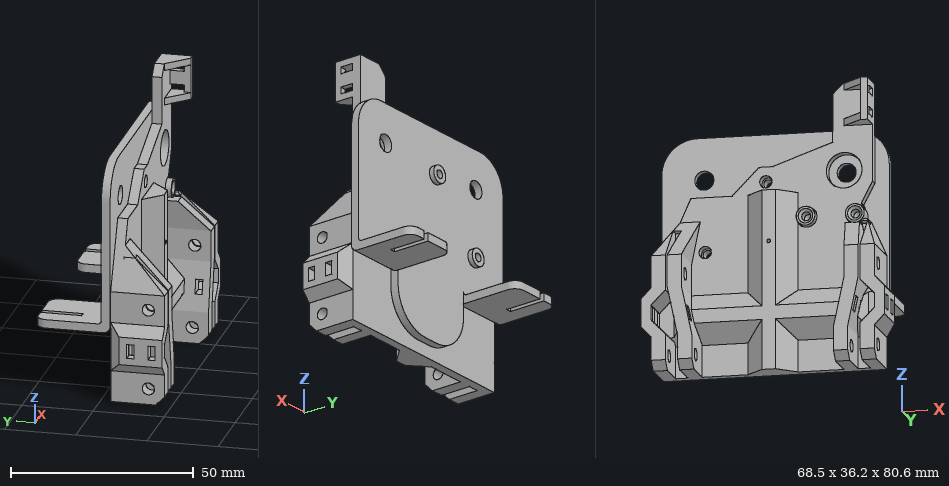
import cadquery as cq

flange_thickness = 2.85
bracket_top = 80.58
rib_depth = 8.0
rib_front_half_width = 1.93
rib_slope_run = rib_depth - flange_thickness
rib_base_half_width = rib_front_half_width + rib_slope_run
vertical_rib_top = 50.5
cross_rib_height = 16.0
rib_end_floor_depth = 5.0
pilot_hole_diameter = 1.0
pilot_hole_height = 36.1

wall_depth = 15.2
wall_outer_x = 31.4
wall_thickness = 4.05
wall_gap_x = wall_outer_x - wall_thickness
wall_shoulder_height = 31.93
wall_slope_top = 43.8
wall_foot_chamfer = 2.5
shoulder_tip_x = 23.08
shoulder_run_per_rise = (wall_outer_x - shoulder_tip_x) / (vertical_rib_top - wall_shoulder_height)
gap_top = 40.8
inner_wall_thickness = 4.0
inner_wall_foot_x = 23.9
inner_wall_shoulder_x = 26.85
inner_wall_bend_bottom = 9.2

bulge_jog = 34.235 - wall_outer_x
bulge_back_depth = 3.0
bulge_base_half_height = 7.0
bulge_face_half_height = 4.0
bulge_inner_half_height = 2.05

clamp_hole_diameter = 3.4
clamp_hole_depth = 10.6
clamp_hole_offset = 11.43
tie_slot_width = 2.0
tie_slot_height = 4.0
front_tie_slot_depth = 12.15
rear_tie_slot_depth = 6.2

flange_ledge_left_x = -11.54
flange_crest_x = (-3.9, -0.17)
flange_crest_height = 58.2
arm_left_x = 16.72
arm_root_height = 64.1
arm_right_edge_bottom = 52.6
arm_neck_height = 46.6
arm_right_x = 27.97
arm_corner_chamfer = 2.9
hook_height = 12.0
hook_wall = 2.0
hook_reach = 6.0
hook_slot_length = 4.0
hook_slot_height = 2.0

plate_half_width = 32.0
plate_thickness = 2.5
plate_top = 68.0
plate_corner_radius = 10.0
tongue_bottom = 4.0
tongue_corner_radius = 12.0
tab_width = 17.5
tab_inner_x = plate_half_width - tab_width
tab_bottom = 20.0
tab_end_y = 21.0
tab_corner_radius = 3.0
bend_inner_radius = 1.0
bend_outer_radius = 2.0
tab_slot_x = 25.63
tab_slot_width = 1.7
tab_slot_length = 11.6
mount_hole_diameter = 5.27
mount_hole_x = 20.0
mount_hole_height = 56.06
mount_counterbore_diameter = 10.0

standoff_diameter = 5.3
standoff_bore = 2.46
standoff_countersink = 4.06
standoff_clearance = 5.67
screw_clearance = 3.4
rear_standoff_tip_y = 4.0
front_standoff_tip_y = -4.5
front_standoff_bore_depth = 4.0
rear_standoffs = [(-2.04, 54.05), (-19.06, 35.1)]
front_standoff_height = 43.47
front_standoffs = [(9.5, front_standoff_height), (23.37, front_standoff_height)]

standoff_pocket_bottom = 40.45
standoff_pocket_step = 41.5
standoff_pocket_step_top = 44.0
standoff_pocket_left_x = 20.0
standoff_pocket_ramp_x = (25.0, 25.7)


def front_prism(points, y_back, y_front):
    """Prism with an (x, z) outline, from y_back forward to y_front."""
    return cq.Workplane("XZ", origin=(0, y_back, 0)).polyline(points).close().extrude(y_back - y_front)


def plan_prism(points, z_low, z_high):
    """Prism with an (x, y) outline, from z_low up to z_high."""
    return cq.Workplane("XY", origin=(0, 0, z_low)).polyline(points).close().extrude(z_high - z_low)


def side_prism(points, half_length):
    """Prism with a (y, z) outline, centred on X = 0."""
    return cq.Workplane("YZ").polyline(points).close().extrude(half_length, both=True)


def rod_y(x, z, diameter, y_back, y_front):
    """Cylinder along Y, from y_back forward to y_front."""
    return cq.Workplane("XZ", origin=(x, y_back, z)).circle(diameter / 2).extrude(y_back - y_front)


def block(x_range, y_range, z_range):
    """Axis-aligned block given by its (low, high) limits."""
    low, high = zip(x_range, y_range, z_range)
    size = [b - a for a, b in zip(low, high)]
    return cq.Workplane("XY", origin=low).box(*size, centered=False)


def shoulder_x(height):
    """Distance from X = 0 to the sloping shoulder of the bracket at a given height."""
    return wall_outer_x - (height - wall_shoulder_height) * shoulder_run_per_rise


def make_shoulder_cut(top):
    """Material to remove outside the +X shoulder of the bracket, up to a given height."""
    outline = [(wall_outer_x, wall_shoulder_height), (shoulder_x(top), top), (wall_outer_x, top)]
    return front_prism(outline, 0, -wall_depth)


def make_flange():
    """Flat back of the bracket, with square shoulders."""
    outline = [
        (-wall_outer_x, 0),
        (-wall_outer_x, vertical_rib_top),
        (flange_ledge_left_x, vertical_rib_top),
        (flange_crest_x[0], flange_crest_height),
        (flange_crest_x[1], flange_crest_height),
        (arm_left_x, arm_root_height),
        (arm_left_x, bracket_top - arm_corner_chamfer),
        (arm_left_x + arm_corner_chamfer, bracket_top),
        (arm_right_x, bracket_top),
        (arm_right_x, arm_right_edge_bottom),
        (shoulder_x(arm_neck_height), arm_neck_height),
        (wall_outer_x, arm_neck_height),
        (wall_outer_x, 0),
    ]
    return front_prism(outline, 0, -flange_thickness)


def make_ribs():
    vertical = plan_prism(
        [
            (-rib_base_half_width, -flange_thickness),
            (-rib_front_half_width, -rib_depth),
            (rib_front_half_width, -rib_depth),
            (rib_base_half_width, -flange_thickness),
        ],
        0,
        vertical_rib_top,
    )
    cross = side_prism(
        [
            (-flange_thickness, cross_rib_height - rib_base_half_width),
            (-rib_depth, cross_rib_height - rib_front_half_width),
            (-rib_depth, cross_rib_height + rib_front_half_width),
            (-flange_thickness, cross_rib_height + rib_base_half_width),
        ],
        wall_outer_x,
    )
    ramp_run = rib_depth - rib_end_floor_depth
    end_cut = plan_prism(
        [
            (wall_outer_x, -rib_end_floor_depth),
            (wall_gap_x, -rib_end_floor_depth),
            (wall_gap_x - ramp_run, -rib_depth),
            (wall_outer_x, -rib_depth),
        ],
        0,
        vertical_rib_top,
    )
    return vertical.union(cross.cut(end_cut).cut(end_cut.mirror("YZ")))


def make_wall_pair():
    """Outer and inner clamp wall on the +X side."""
    bulge_x = wall_outer_x + bulge_jog
    outer = front_prism(
        [
            (wall_outer_x, 0),
            (wall_outer_x, cross_rib_height - bulge_base_half_height),
            (bulge_x, cross_rib_height - bulge_face_half_height),
            (bulge_x, cross_rib_height + bulge_face_half_height),
            (wall_outer_x, cross_rib_height + bulge_base_half_height),
            (wall_outer_x, wall_slope_top),
            (shoulder_tip_x, wall_slope_top),
            (shoulder_tip_x, gap_top),
            (wall_gap_x, gap_top),
            (wall_gap_x, cross_rib_height + bulge_inner_half_height + wall_thickness),
            (wall_outer_x, cross_rib_height + bulge_inner_half_height),
            (wall_outer_x, cross_rib_height - bulge_inner_half_height),
            (wall_gap_x, cross_rib_height - bulge_inner_half_height - wall_thickness),
            (wall_gap_x, 0),
        ],
        0,
        -wall_depth,
    )
    bulge_back = plan_prism(
        [(wall_outer_x, 0), (bulge_x, 0), (bulge_x, -bulge_back_depth)], 0, wall_shoulder_height
    )
    inner_face = [
        (inner_wall_foot_x, 0),
        (inner_wall_foot_x, inner_wall_bend_bottom),
        (inner_wall_shoulder_x, cross_rib_height + bulge_base_half_height),
        (inner_wall_shoulder_x, wall_shoulder_height),
        (shoulder_tip_x, vertical_rib_top),
    ]
    far_face = [(x - inner_wall_thickness, z) for x, z in reversed(inner_face)]
    inner = front_prism(inner_face + far_face, 0, -wall_depth)
    side_outline = side_prism(
        [
            (0, 0),
            (wall_foot_chamfer - wall_depth, 0),
            (-wall_depth, wall_foot_chamfer),
            (-wall_depth, wall_shoulder_height),
            (-flange_thickness, wall_slope_top),
            (0, wall_slope_top),
        ],
        bulge_x,
    )
    pair = outer.cut(bulge_back).union(inner).intersect(side_outline)

    half_slot = tie_slot_height / 2
    slot_z = (cross_rib_height - half_slot, cross_rib_height + half_slot)
    for depth in (front_tie_slot_depth, rear_tie_slot_depth):
        slot_y = (-depth - tie_slot_width / 2, -depth + tie_slot_width / 2)
        pair = pair.cut(block((0, bulge_x), slot_y, slot_z))
    for side in (-1, 1):
        hole_z = cross_rib_height + side * clamp_hole_offset
        hole = cq.Workplane("YZ").center(-clamp_hole_depth, hole_z)
        pair = pair.cut(hole.circle(clamp_hole_diameter / 2).extrude(bulge_x))
    return pair


def make_standoff_pocket():
    ramp_low_x, ramp_high_x = standoff_pocket_ramp_x
    outline = [
        (standoff_pocket_left_x, vertical_rib_top),
        (standoff_pocket_left_x, standoff_pocket_bottom),
        (ramp_low_x, standoff_pocket_bottom),
        (ramp_high_x, standoff_pocket_step),
        (wall_outer_x, standoff_pocket_step),
        (wall_outer_x, vertical_rib_top),
    ]
    return front_prism(outline, -flange_thickness, -wall_depth)


def make_hook():
    """Two triangular shelves joined by a side wall, on the front of the arm tip."""
    hook_bottom = bracket_top - hook_height
    hook_front_y = -(flange_thickness + hook_reach)
    wall_x = arm_right_x - hook_wall
    hook = plan_prism(
        [
            (wall_x - hook_reach, -flange_thickness),
            (wall_x, hook_front_y),
            (arm_right_x, hook_front_y),
            (arm_right_x, -flange_thickness),
        ],
        hook_bottom,
        bracket_top,
    )
    mouth_z = (hook_bottom + hook_wall, bracket_top - hook_wall)
    hook = hook.cut(block((arm_left_x, wall_x), (hook_front_y, -flange_thickness), mouth_z))
    slot_y = (-flange_thickness - hook_slot_length, -flange_thickness)
    for slot_bottom in (mouth_z[0], mouth_z[1] - hook_slot_height):
        slot_z = (slot_bottom, slot_bottom + hook_slot_height)
        hook = hook.cut(block((wall_x, arm_right_x), slot_y, slot_z))
    return hook


def make_bracket():
    walls = make_wall_pair()
    body = make_flange().union(make_ribs()).union(walls.mirror("YZ"))
    body = body.union(walls.cut(make_standoff_pocket()))
    body = body.cut(make_shoulder_cut(arm_neck_height))
    body = body.cut(make_shoulder_cut(vertical_rib_top).mirror("YZ"))
    body = body.union(make_hook())
    for x, z in rear_standoffs:
        body = body.cut(rod_y(x, z, screw_clearance, 0, -flange_thickness))
    for x, z in front_standoffs:
        body = body.cut(rod_y(x, z, standoff_clearance, 0, -wall_depth))
    step_x = (standoff_pocket_ramp_x[1], wall_outer_x)
    step_z = (standoff_pocket_step, standoff_pocket_step_top)
    body = body.cut(block(step_x, (-flange_thickness, 0), step_z))
    counterbore = rod_y(mount_hole_x, mount_hole_height, mount_counterbore_diameter, 0, -flange_thickness)
    body = body.cut(counterbore)
    return body.cut(rod_y(0, pilot_hole_height, pilot_hole_diameter, 0, -rib_depth))


def make_tab():
    """Tab bent back from the plate on the +X side."""
    tab_top = tab_bottom + plate_thickness
    fillet_top = tab_top + bend_inner_radius
    fillet_y = plate_thickness + bend_inner_radius
    profile = (
        cq.Workplane("YZ", origin=(tab_inner_x, 0, 0))
        .moveTo(0, fillet_top)
        .lineTo(plate_thickness, fillet_top)
        .radiusArc((fillet_y, tab_top), -bend_inner_radius)
        .lineTo(tab_end_y, tab_top)
        .lineTo(tab_end_y, tab_bottom)
        .lineTo(bend_outer_radius, tab_bottom)
        .radiusArc((0, tab_bottom + bend_outer_radius), bend_outer_radius)
        .close()
    )
    tab = profile.extrude(tab_width).edges("|Z and >Y").fillet(tab_corner_radius)
    slot_x = (tab_slot_x - tab_slot_width / 2, tab_slot_x + tab_slot_width / 2)
    return tab.cut(block(slot_x, (tab_end_y - tab_slot_length, tab_end_y), (tab_bottom, tab_top)))


def make_blind_bore(x, z):
    """Countersunk blind bore with a conical drill tip, entering from the front of a standoff."""
    bore_radius = standoff_bore / 2
    sink_radius = standoff_countersink / 2
    sink_depth = sink_radius - bore_radius
    bore = (
        cq.Workplane("XY")
        .polyline(
            [
                (0, 0),
                (sink_radius, 0),
                (bore_radius, sink_depth),
                (bore_radius, front_standoff_bore_depth),
                (0, front_standoff_bore_depth + bore_radius),
            ]
        )
        .close()
        .revolve(360, (0, 0, 0), (0, 1, 0))
    )
    return bore.translate((x, front_standoff_tip_y, z))


def make_plate():
    bend_top = tab_bottom + plate_thickness + bend_inner_radius
    sheet = block((-plate_half_width, plate_half_width), (0, plate_thickness), (bend_top, plate_top))
    sheet = sheet.edges("|Y and >Z").fillet(plate_corner_radius)
    tongue = block((-tab_inner_x, tab_inner_x), (0, plate_thickness), (tongue_bottom, bend_top))
    tongue = tongue.edges("|Y and <Z").fillet(tongue_corner_radius)
    tab = make_tab()
    plate = sheet.union(tongue).union(tab).union(tab.mirror("YZ"))
    for x in (-mount_hole_x, mount_hole_x):
        plate = plate.cut(rod_y(x, mount_hole_height, mount_hole_diameter, plate_thickness, 0))
    for x, z in rear_standoffs:
        plate = plate.union(rod_y(x, z, standoff_diameter, rear_standoff_tip_y, 0))
        plate = plate.cut(rod_y(x, z, standoff_bore, rear_standoff_tip_y, 0))
    for x, z in front_standoffs:
        plate = plate.union(rod_y(x, z, standoff_diameter, plate_thickness, front_standoff_tip_y))
        plate = plate.cut(make_blind_bore(x, z))
    return plate


bracket = make_bracket()
plate = make_plate()

result = cq.Compound.makeCompound([bracket.val(), plate.val()])